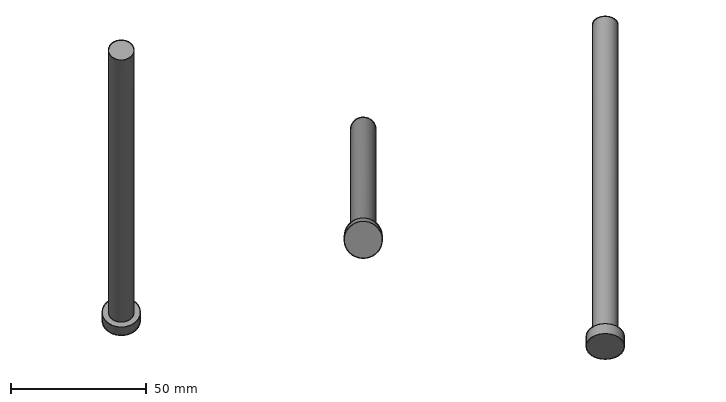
import cadquery as cq

total_length = 160.0
head_diameter = 14.0
head_height = 5.0
shank_diameter = 9.5

bottom_z = -total_length / 2
shank_length = total_length - head_height

head = cq.Workplane("XY").workplane(offset=bottom_z).circle(head_diameter / 2).extrude(head_height)

result = head.faces(">Z").workplane().circle(shank_diameter / 2).extrude(shank_length)